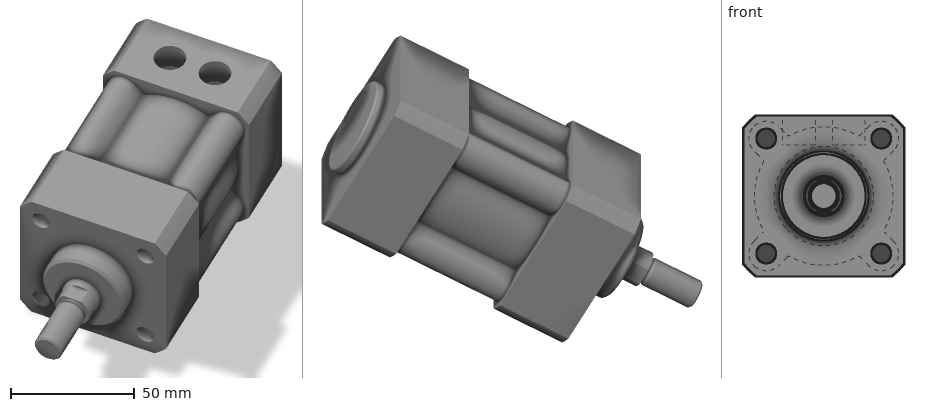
import cadquery as cq
import math


total_length = 159.0
cap_width = 65.0
cap_length = 31.6
cap_corner_diameter = 85.0
bolt_pitch = 46.5
bolt_hole_diameter = 8.0
bolt_hole_depth = 15.9

front_boss_diameter = 36.1
front_boss_length = 9.9
front_boss_chamfer = 1.1

collar_diameter = 16.0
collar_length = 2.4
collar_taper_length = 1.0
flats_diameter = 15.1
flats_length = 6.5
flats_across = 13.0
groove_length = 2.0
groove_diameter = 10.3
groove_bottom_offset = 0.8
thread_diameter = 12.1
thread_length = 22.0
thread_chamfer = 0.8

rear_boss_diameter = 40.0
rear_boss_length = 4.0
rear_boss_rounding = 1.0
port_diameter = 13.2
port_pitch = 20.0
port_depth = 12.0

tube_diameter = 56.0
lobe_radius = 7.0
web_fillet = 0.8

boss_face_y = -front_boss_length
collar_end_y = boss_face_y - collar_length
flats_start_y = collar_end_y - collar_taper_length
flats_end_y = flats_start_y - flats_length
thread_start_y = flats_end_y - groove_length
rod_tip_y = thread_start_y - thread_length
barrel_start_y = cap_length
rear_end_y = rod_tip_y + total_length
rear_cap_end_y = rear_end_y - rear_boss_length
rear_cap_start_y = rear_cap_end_y - cap_length
barrel_length = rear_cap_start_y - barrel_start_y


def plane_at(y):
    """XZ plane at the given Y, with its normal along +Y and local axes -X and Z."""
    return cq.Workplane(cq.Plane(origin=(0, y, 0), xDir=(-1, 0, 0), normal=(0, 1, 0)))


def cap_block(start_y):
    """Square block whose four long corners are turned to a common diameter."""
    block = plane_at(start_y).rect(cap_width, cap_width).extrude(cap_length)
    turned = plane_at(start_y).circle(cap_corner_diameter / 2).extrude(cap_length)
    return block.intersect(turned)


def make_front_boss():
    boss = plane_at(boss_face_y).circle(front_boss_diameter / 2).extrude(front_boss_length)
    return boss.faces("<Y").chamfer(front_boss_chamfer)


def make_rod():
    """Turned rod end with a collar, wrench flats, thread relief groove and chamfered thread."""
    thread_radius = thread_diameter / 2
    half_profile = [
        (0, boss_face_y),
        (collar_diameter / 2, boss_face_y),
        (collar_diameter / 2, collar_end_y),
        (flats_diameter / 2, flats_start_y),
        (flats_diameter / 2, flats_end_y),
        (thread_radius, flats_end_y),
        (groove_diameter / 2, flats_end_y - groove_bottom_offset),
        (thread_radius, thread_start_y),
        (thread_radius, rod_tip_y + thread_chamfer),
        (thread_radius - thread_chamfer, rod_tip_y),
        (0, rod_tip_y),
    ]
    rod = cq.Workplane("XY").polyline(half_profile).close().revolve(360, (0, 0, 0), (0, 1, 0))
    flats_ring = plane_at(flats_end_y).rect(2 * collar_diameter, 2 * collar_diameter)
    flats_ring = flats_ring.rect(collar_diameter, flats_across).extrude(flats_length)
    return rod.cut(flats_ring)


def make_front_cap():
    """Front cap with its bolt holes, boss and rod in one piece."""
    bolt_holes = plane_at(0).rect(bolt_pitch, bolt_pitch, forConstruction=True).vertices()
    bolt_holes = bolt_holes.circle(bolt_hole_diameter / 2).extrude(bolt_hole_depth)
    cap = cap_block(0).cut(bolt_holes)
    return cap.union(make_front_boss()).union(make_rod())


def make_barrel():
    """Round tube with a round-ended web along each diagonal, filleted where web meets tube."""
    web_length = math.sqrt(2) * bolt_pitch + 2 * lobe_radius
    barrel = plane_at(barrel_start_y).circle(tube_diameter / 2).extrude(barrel_length)
    for angle in (45, 135):
        web = plane_at(barrel_start_y).slot2D(web_length, 2 * lobe_radius, angle).extrude(barrel_length)
        barrel = barrel.union(web)
    tube_edges = cq.selectors.BoxSelector(
        (-tube_diameter / 2, barrel_start_y, -tube_diameter / 2),
        (tube_diameter / 2, rear_cap_start_y, tube_diameter / 2),
    )
    return barrel.edges("|Y").edges(tube_edges).fillet(web_fillet)


def make_rear_cap():
    """Rear cap with a rounded boss behind and two ports side by side on top."""
    boss = plane_at(rear_cap_end_y).circle(rear_boss_diameter / 2).extrude(rear_boss_length)
    boss = boss.faces(">Y").edges().fillet(rear_boss_rounding)
    port_y = rear_cap_start_y + cap_length / 2
    ports = cq.Workplane("XY", origin=(0, port_y, cap_width / 2))
    ports = ports.pushPoints([(-port_pitch / 2, 0), (port_pitch / 2, 0)])
    ports = ports.circle(port_diameter / 2).extrude(-port_depth)
    return cap_block(rear_cap_start_y).cut(ports).union(boss)


front_cap = make_front_cap()
barrel = make_barrel()
rear_cap = make_rear_cap()

result = cq.Compound.makeCompound([front_cap.val(), barrel.val(), rear_cap.val()])